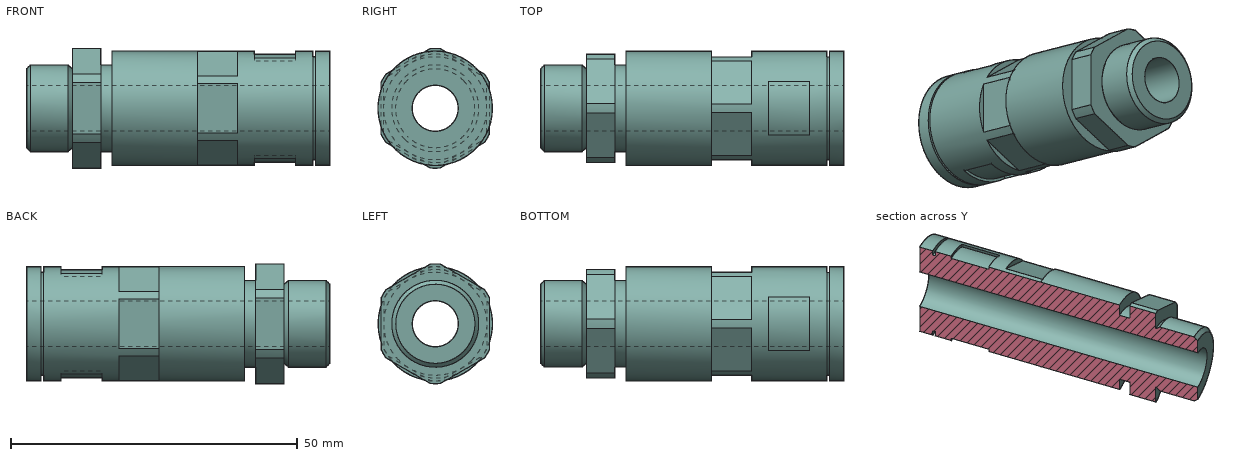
import cadquery as cq
import math

length = 53.0
body_diameter = 20.05
rear_diameter = 20.0
bore_diameter = 8.0

thread_diameter = 15.2
tip_chamfer = 0.7
relief_start = 7.2
relief_depth = 0.7

nut_start = 8.0
nut_end = 13.0
nut_across_flats = 19.0
nut_corner_diameter = 21.0

body_start = 14.9
hex_start = 29.9
hex_end = 36.9
hex_across_flats = 18.0
groove_start = 50.05
groove_end = 50.45
groove_diameter = 18.0

window_start = 39.8
window_end = 46.95
window_width = 9.4
window_floor_diameter = 19.0


def cylinder(start, end, diameter):
    """Solid cylinder on the X axis."""
    return cq.Workplane("YZ", origin=(start, 0, 0)).circle(diameter / 2).extrude(end - start)


def rounded_hexagon(start, end, across_flats, corner_diameter):
    """Hexagonal prism with corners on the Z axis, limited to a corner diameter."""
    across_corners = across_flats / math.cos(math.pi / 6)
    hexagon = (
        cq.Workplane("YZ", origin=(start, 0, 0))
        .transformed(rotate=(0, 0, 90))
        .polygon(6, across_corners)
        .extrude(end - start)
    )
    return hexagon.intersect(cylinder(start, end, corner_diameter))


def turned_core():
    """Thread, neck, both bodies and groove as one revolved profile."""
    thread_radius = thread_diameter / 2
    body_radius = body_diameter / 2
    rear_radius = rear_diameter / 2
    groove_radius = groove_diameter / 2
    profile = [
        (0, 0),
        (0, thread_radius - tip_chamfer),
        (tip_chamfer, thread_radius),
        (relief_start, thread_radius),
        (nut_start, thread_radius - relief_depth),
        (nut_start, thread_radius),
        (body_start, thread_radius),
        (body_start, body_radius),
        (hex_start, body_radius),
        (hex_start, rear_radius),
        (groove_start, rear_radius),
        (groove_start, groove_radius),
        (groove_end, groove_radius),
        (groove_end, rear_radius),
        (length, rear_radius),
        (length, 0),
    ]
    return cq.Workplane("XY").polyline(profile).close().revolve(360, (0, 0, 0), (1, 0, 0))


def wrench_flats():
    """Material removed from the rear body to leave the six wrench flats."""
    hexagon = rounded_hexagon(hex_start, hex_end, hex_across_flats, rear_diameter)
    return cylinder(hex_start, hex_end, rear_diameter).cut(hexagon)


def windows():
    """Material removed from the two opposite windows, down to a round floor."""
    window_length = window_end - window_start
    slab = cq.Workplane("XY").box(window_length, window_width, rear_diameter)
    slab = slab.translate(((window_start + window_end) / 2, 0, 0))
    return slab.cut(cylinder(window_start, window_end, window_floor_diameter))


lock_nut = rounded_hexagon(nut_start, nut_end, nut_across_flats, nut_corner_diameter)
bore = cylinder(0, length, bore_diameter)
result = turned_core().union(lock_nut).cut(wrench_flats()).cut(windows()).cut(bore)